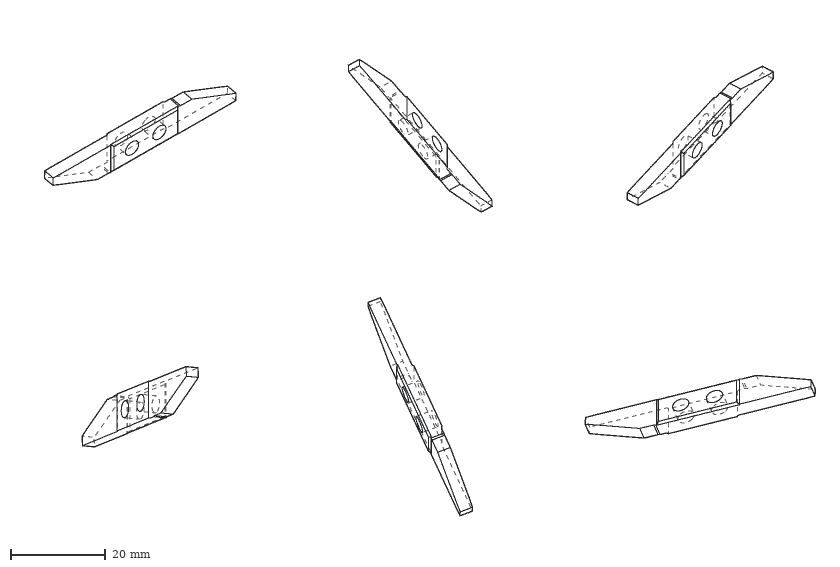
import cadquery as cq
import math

length = 50.5
height = 8.0
thickness = 2.95

tip_height = 2.1
slope_angle = 25.0
tip_lean = 0.1

thinning_length = 2.0
thinning_depth = 0.05

relief_depth = 0.15
relief_start = 9.45
relief_run = 0.45

front_pad_rise = 0.3
front_pad_half_length = 7.7
front_pad_blend_radius = 0.5

rear_pad_rise = 0.35
rear_pad_inset = 0.15
rear_pad_length = 18.5

hole_diameter = 3.65
hole_spacing = 7.5

half_length = length / 2
half_height = height / 2
half_thickness = thickness / 2


def body():
    """Bar profile: one half, repeated by a half turn about the X axis."""
    relief_z = half_height - relief_depth
    tip_z = tip_height - half_height
    slope_start = half_length - (relief_z - tip_z) / math.tan(math.radians(slope_angle))
    half_outline = [
        (half_length - tip_lean, -half_height),
        (half_length, tip_z),
        (slope_start, relief_z),
        (relief_start + relief_run, relief_z),
        (relief_start, half_height),
    ]
    outline = half_outline + [(-y, -z) for y, z in half_outline]
    return cq.Workplane("YZ").polyline(outline).close().extrude(half_thickness, both=True)


def tip_thinning():
    """Four thin wedges removed from the side faces at the tips."""
    wedge = (
        cq.Workplane("XY")
        .polyline(
            [
                (half_thickness, half_length - thinning_length),
                (half_thickness, half_length),
                (half_thickness - thinning_depth, half_length),
            ]
        )
        .close()
        .extrude(half_height, both=True)
    )
    side_pair = wedge.union(wedge.mirror("YZ"))
    return side_pair.union(side_pair.mirror("XZ"))


def front_pad():
    """Full-height pad on the -X face with a concave blend at each end."""
    radius = front_pad_blend_radius
    face_x = -half_thickness
    outer_x = face_x - front_pad_rise
    end_angle = math.acos(1 - front_pad_rise / radius)
    base_y = front_pad_half_length + radius * math.sin(end_angle)
    mid_x = face_x - radius * (1 - math.cos(end_angle / 2))
    mid_y = base_y - radius * math.sin(end_angle / 2)
    return (
        cq.Workplane("XY")
        .moveTo(face_x, -base_y)
        .threePointArc((mid_x, -mid_y), (outer_x, -front_pad_half_length))
        .lineTo(outer_x, front_pad_half_length)
        .threePointArc((mid_x, mid_y), (face_x, base_y))
        .close()
        .extrude(half_height, both=True)
    )


def rear_pad_block():
    """Block that fills the rear recess and stands proud of the +X face."""
    return (
        cq.Workplane("YZ")
        .workplane(offset=half_thickness - rear_pad_inset)
        .rect(rear_pad_length, height)
        .extrude(rear_pad_inset + rear_pad_rise)
    )


def rear_pad():
    """Rear pad tapering at 45 degrees on all four sides."""
    return (
        cq.Workplane("YZ")
        .workplane(offset=half_thickness - rear_pad_inset)
        .rect(rear_pad_length, height)
        .extrude(rear_pad_inset + rear_pad_rise, taper=45)
    )


def holes():
    """Two round holes through the whole thickness and both pads."""
    drill_depth = thickness + front_pad_rise + rear_pad_rise
    return (
        cq.Workplane("YZ")
        .pushPoints([(-hole_spacing / 2, 0), (hole_spacing / 2, 0)])
        .circle(hole_diameter / 2)
        .extrude(drill_depth, both=True)
    )


result = (
    body()
    .cut(tip_thinning())
    .cut(rear_pad_block())
    .union(rear_pad())
    .union(front_pad())
    .cut(holes())
)